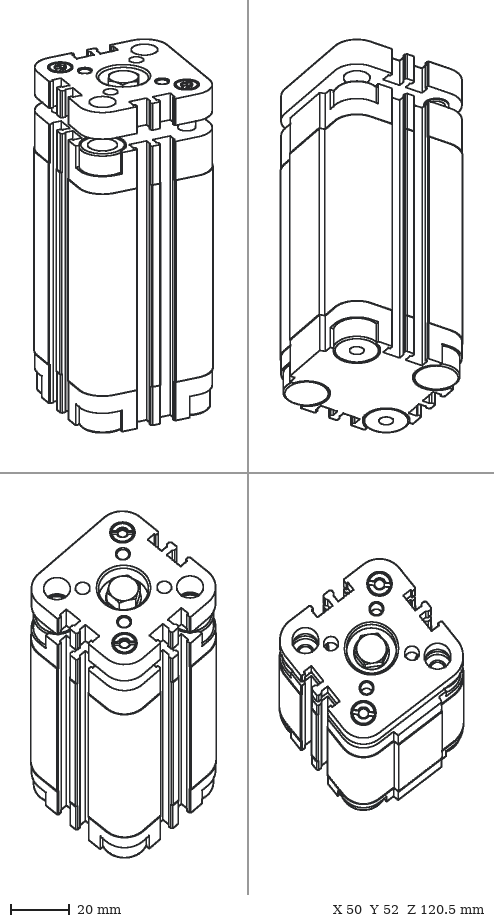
import cadquery as cq
import math

total_height = 120.5
plate_thickness = 10.0
housing_height = 104.5
cap_height = 14.5
tube_width = 50.0
cap_width = 49.5
hole_offset = 16.0

slot_floor = 19.9
lip_depth = 23.1
slot_half = 7.8
mouth_half = 7.1
mouth_chamfer = 0.4
rib_half = 1.2
rib_head_half = 1.8
rib_head_chamfer = 0.5

rail_top = 27.05
cap_rail_top = 26.8
rail_base_half = 9.9
rail_slant = 0.5

insert_diameter = 16.0
insert_chamfer = 0.6
recess_height = 8.0
recess_inner = 12.9
seat_diameter = 10.1
seat_depth = 4.6
screw_bore = 5.0
screw_mouth = 6.0

rod_diameter = 12.0
rod_end_height = 0.2
rod_flats = 10.1
rod_round_height = 1.6
plate_bore = 17.0
plate_bore_chamfer = 0.7
plate_floor = 3.6
clearance_diameter = 9.0
small_hole_offset = 9.82
small_hole = 5.0
nut_width = 10.1
nut_top_drop = 0.4
nut_chamfer_height = 0.5
nut_top_diameter = 10.1
thread_core = 4.1
guide_diameter = 6.0
guide_collar_diameter = 8.5
guide_collar_height = 0.4
guide_depth = 84.4
head_diameter = 8.0
head_groove = 0.3
socket_core = 3.4
socket_depth = 1.2
driver_slot_width = 1.5
driver_slot_depth = 1.0

plate_bottom = total_height - plate_thickness
rod_depth = guide_depth
guide_corners = [(1, 1), (-1, -1)]
screw_corners = [(-1, 1), (1, -1)]
all_corners = guide_corners + screw_corners


def at_corners(corners, offset):
    return [(sx * offset, sy * offset) for sx, sy in corners]


def cylinder(diameter, bottom, height, points=((0, 0),)):
    return cq.Workplane("XY").workplane(offset=bottom).pushPoints(points).circle(diameter / 2).extrude(height)


def cone(bottom_diameter, top_diameter, bottom, height, points=((0, 0),)):
    frustum = cq.Solid.makeCone(bottom_diameter / 2, top_diameter / 2, height)
    cones = cq.Workplane("XY")
    for x, y in points:
        cones = cones.add(frustum.moved(cq.Location(cq.Vector(x, y, bottom))))
    return cones.combine()


def rounded_square(width, bottom, height):
    block = cq.Workplane("XY").workplane(offset=bottom).rect(width, width).extrude(height)
    return block.edges("|Z").fillet(width / 2 - hole_offset)


def slot_pair(face, bottom, height):
    """The two T-slots of the -Y side, left and right of the rib, out to a face at the given distance."""
    outer = face + 1.2
    half_section = [
        (rib_half, -slot_floor),
        (slot_half, -slot_floor),
        (slot_half, -lip_depth),
        (mouth_half, -lip_depth),
        (mouth_half, mouth_chamfer - face),
        (mouth_half + mouth_chamfer, -face),
        (mouth_half + mouth_chamfer, -outer),
        (rib_head_half - rib_head_chamfer, -outer),
        (rib_head_half - rib_head_chamfer, -face),
        (rib_head_half, rib_head_chamfer - face),
        (rib_head_half, -lip_depth),
        (rib_half, rib_head_half - rib_half - lip_depth),
    ]
    right = cq.Workplane("XY").workplane(offset=bottom).polyline(half_section).close().extrude(height)
    return right.union(right.mirror("YZ"))


def slotted_body(width, bottom, height):
    """Rounded square column with T-slots on three sides."""
    body = rounded_square(width, bottom, height)
    slots = slot_pair(width / 2, bottom, height)
    for angle in (-90, 0, 90):
        body = body.cut(slots.rotate((0, 0, 0), (0, 0, 1), angle))
    return body


def rail(top, bottom, height):
    outline = [
        (-rail_base_half, slot_floor),
        (rail_base_half, slot_floor),
        (rail_base_half, cap_width / 2),
        (rail_base_half - rail_slant, top),
        (rail_slant - rail_base_half, top),
        (-rail_base_half, cap_width / 2),
    ]
    return cq.Workplane("XY").workplane(offset=bottom).polyline(outline).close().extrude(height)


def corner_insert_recess(corner, bottom):
    """Open corner pocket of a cap, which leaves the round insert standing."""
    sx, sy = corner
    side = tube_width / 2 - recess_inner + 1.2
    centre = recess_inner + side / 2
    pocket = cq.Workplane("XY").box(side, side, recess_height, centered=(True, True, False))
    pocket = pocket.translate((sx * centre, sy * centre, bottom))
    axis = at_corners([corner], hole_offset)
    return pocket.cut(cylinder(insert_diameter, bottom, recess_height, axis))


def insert_edge_groove(corners):
    """Groove left at the top face by the chamfered edge of the corner inserts."""
    points = at_corners(corners, hole_offset)
    bottom = housing_height - insert_chamfer
    ring = cylinder(insert_diameter, bottom, insert_chamfer, points)
    core = cone(insert_diameter, insert_diameter - 2 * insert_chamfer, bottom, insert_chamfer, points)
    return ring.cut(core)


def make_housing():
    top_cap_bottom = housing_height - cap_height
    tube_height = housing_height - 2 * cap_height
    housing = slotted_body(tube_width, cap_height, tube_height).union(rail(rail_top, cap_height, tube_height))
    for bottom in (0, top_cap_bottom):
        housing = housing.union(slotted_body(cap_width, bottom, cap_height))
        housing = housing.union(rail(cap_rail_top, bottom, cap_height))

    for corner in all_corners:
        housing = housing.cut(corner_insert_recess(corner, 0))
    for corner in screw_corners:
        housing = housing.cut(corner_insert_recess(corner, housing_height - recess_height))

    housing = housing.cut(insert_edge_groove(screw_corners))
    bottom_groove = insert_edge_groove(all_corners).translate((0, 0, -housing_height))
    housing = housing.cut(bottom_groove.mirror("XY"))

    points = at_corners(screw_corners, hole_offset)
    seat_bottom = housing_height - seat_depth
    housing = housing.cut(cylinder(seat_diameter, seat_bottom, seat_depth, points))
    housing = housing.cut(cylinder(screw_bore, 0, housing_height, points))
    mouth_depth = (screw_mouth - screw_bore) / 2
    housing = housing.cut(cone(screw_bore, screw_mouth, seat_bottom - mouth_depth, mouth_depth, points))

    housing = housing.cut(cylinder(rod_diameter, housing_height - rod_depth, rod_depth))
    guides = at_corners(guide_corners, hole_offset)
    return housing.cut(cylinder(guide_diameter, housing_height - guide_depth, guide_depth, guides))


def make_piston_rod():
    """Round rod with two wrench flats between the housing and the plate."""
    bottom = housing_height - rod_depth
    rod = cylinder(rod_diameter, bottom, plate_bottom + plate_floor + rod_end_height - bottom)
    flat_bottom = housing_height + rod_round_height
    flat_height = plate_bottom - flat_bottom
    for side in (-1, 1):
        flat = cq.Workplane("XY").box(rod_diameter, rod_diameter, flat_height, centered=(True, True, False))
        rod = rod.cut(flat.translate((0, side * (rod_flats + rod_diameter) / 2, flat_bottom)))
    return rod


def make_nut():
    """Hexagon that clamps the plate to the rod end, with a conical top edge."""
    corner_diameter = nut_width / math.cos(math.pi / 6)
    bottom = plate_bottom + plate_floor
    top = total_height - nut_top_drop
    straight_height = top - nut_chamfer_height - bottom
    hexagon = cq.Workplane("XY").workplane(offset=bottom).polygon(6, corner_diameter).extrude(top - bottom)
    hexagon = hexagon.rotate((0, 0, 0), (0, 0, 1), 30)
    envelope = cylinder(corner_diameter, bottom, straight_height)
    envelope = envelope.union(cone(corner_diameter, nut_top_diameter, bottom + straight_height, nut_chamfer_height))
    return hexagon.intersect(envelope)


def make_plate():
    plate = slotted_body(cap_width, plate_bottom, plate_thickness)

    floor = plate_bottom + plate_floor
    plate = plate.cut(cylinder(plate_bore, floor, plate_thickness))
    chamfer_bottom = total_height - plate_bore_chamfer
    rim = plate_bore + 2 * plate_bore_chamfer
    plate = plate.cut(cone(plate_bore, rim, chamfer_bottom, plate_bore_chamfer))

    clearance = at_corners(screw_corners, hole_offset)
    plate = plate.cut(cylinder(clearance_diameter, plate_bottom, plate_thickness, clearance))

    dowels = at_corners(screw_corners, small_hole_offset)
    plate = plate.cut(cylinder(small_hole, plate_bottom, plate_thickness, dowels))
    threads = at_corners(guide_corners, small_hole_offset)
    plate = plate.cut(cylinder(thread_core, plate_bottom, plate_thickness, threads))
    lead = (small_hole - thread_core) / 2
    return plate.cut(cone(thread_core, small_hole, total_height - lead, lead, threads))


def driver_features(points):
    """Socket, driver slot and rim groove in the guide rod ends, flush with the plate top."""
    groove_bottom = total_height - head_groove
    groove = cone(head_diameter, head_diameter + 2 * head_groove, groove_bottom, head_groove, points)
    groove = groove.cut(cone(head_diameter, head_diameter - 2 * head_groove, groove_bottom, head_groove, points))
    socket = cylinder(socket_core, total_height - socket_depth, socket_depth, points)
    slots = cq.Workplane("XY").workplane(offset=total_height - driver_slot_depth).pushPoints(points)
    slots = slots.slot2D(head_diameter, driver_slot_width, -45).extrude(driver_slot_depth)
    socket_lead = (thread_core - socket_core) / 2
    lead = cone(socket_core, thread_core, total_height - socket_lead, socket_lead, points)
    return groove.union(socket).union(lead).union(slots)


def make_slide():
    points = at_corners(guide_corners, hole_offset)
    guide_bottom = housing_height - guide_depth
    guides = cylinder(guide_diameter, guide_bottom, plate_bottom - guide_bottom, points)
    collars = cylinder(guide_collar_diameter, plate_bottom - guide_collar_height, guide_collar_height, points)
    slide = make_plate().union(make_piston_rod()).union(make_nut()).union(guides).union(collars)
    return slide.cut(driver_features(points))


housing = make_housing()
slide = make_slide()
result = cq.Compound.makeCompound([housing.val(), slide.val()])